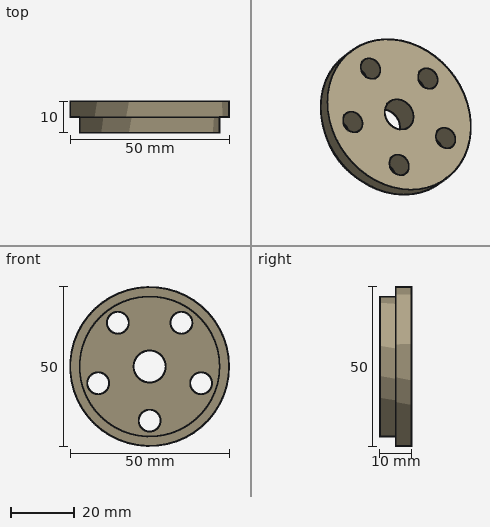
import cadquery as cq

flange_diameter = 50
flange_thickness = 5
spigot_diameter = 44
spigot_length = 5
bore_diameter = 10
bolt_hole_diameter = 6.8
bolt_circle_radius = 17
bolt_hole_count = 5
first_hole_angle = -90

total_length = flange_thickness + spigot_length

back_plane = cq.Workplane("XZ", origin=(0, total_length / 2, 0))

flange = back_plane.circle(flange_diameter / 2).extrude(flange_thickness)
spigot = back_plane.circle(spigot_diameter / 2).extrude(total_length)
body = flange.union(spigot)

bore = back_plane.circle(bore_diameter / 2).extrude(total_length)
bolt_holes = (
    back_plane
    .polarArray(bolt_circle_radius, first_hole_angle, 360, bolt_hole_count)
    .circle(bolt_hole_diameter / 2)
    .extrude(total_length)
)

result = body.cut(bore).cut(bolt_holes)